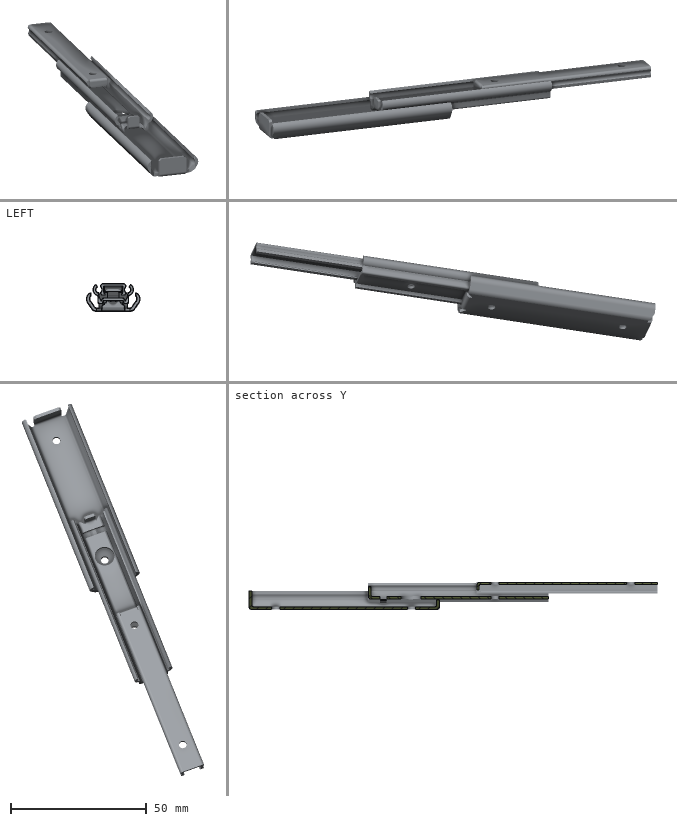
import cadquery as cq
import math


HOLE_DIA = 2.9
HOLE_PITCH = 50.0
BEND_R = 0.6
TAB_ROOT = 0.2
CUT_HEIGHT = 30.2

RAIL_LENGTH = 66.7
INNER_START = 0.0
MIDDLE_START = 40.1
OUTER_START = 80.4
OUTER_END = 150.8
INNER_END = INNER_START + RAIL_LENGTH
MIDDLE_END = MIDDLE_START + RAIL_LENGTH

TRACK_Y = 5.3
TRACK_Z = 8.0
TRACK_R = 1.13

INNER_SHEET = 0.9
INNER_TOP = 10.3
INNER_BOTTOM = 6.0
INNER_HALF_WIDTH = 4.7
INNER_EDGE_R = 1.0
INNER_CAVITY_HALF = 3.5
FOOT_INNER_Y = 3.0
FOOT_OUTER_Y = 4.4
FOOT_TOP = 6.5
FOOT_SLOPE = 0.5
GROOVE_TOP_ANGLE = 135
GROOVE_BOTTOM_ANGLE = 230
INNER_TAB_DROP = 3.0
INNER_TAB_HALF = 3.3
INNER_TAB_CORNER = 0.6
INNER_HOLE_X = 10.0

MIDDLE_SHEET = 1.0
ARM_SHEET = 1.0
WEB_TOP = 5.0
WEB_BOTTOM = WEB_TOP - MIDDLE_SHEET
WEB_HALF = 3.5
MIDDLE_BOTTOM = 2.9
WEB_SHOULDER = (4.0, 4.5)
VALLEY = (4.4, 3.8)
VALLEY_WALL = (5.0, 4.8)
FOLD_Y = 4.0
LEG_OUTER_Y = 5.65
LEG_TOP = 5.5
LEG_FOOT_R = 0.68
MIDDLE_LIP_ANGLE = 60
TRACK_START_ANGLE = -80
ARM_START_ANGLE = -75
MIDDLE_TAB_HALF = 2.1
MIDDLE_TAB_REACH = 4.8
MIDDLE_TAB_CORNER = 0.5
WEB_NOTCH_Y = 3.8
ACCESS_HOLE_X = 91.0
ACCESS_HOLE_DIA = 7.2

DETENT_X = 101.2
DETENT_WIDTH = 2.4
DETENT_HALF = 4.4
DETENT_SHEET = 0.6
DETENT_CROWN = [(0, 3.9), (0.6, 3.9), (1.5, 3.3)]
DETENT_DIP = (3.0, 3.09)
DETENT_END = (DETENT_HALF, 3.7)

OUTER_SHEET = 1.2
ARM_Y = 9.88
ARM_Z = 4.5
ARM_TOP = 6.86
LIP_Y = 8.3
LIP_BOTTOM = 5.65
FLOOR_OUTER_Y = 6.3
BEND_OUTER_MID = (7.2, 0.3)
SLOPE_OUTER_FOOT = (8.0, 1.0)
SLOPE_OUTER_TOP = (9.3, 3.0)
FLOOR_INNER_Y = 6.2
BEND_INNER_MID = (6.6, 1.4)
SLOPE_INNER_FOOT = (7.0, 1.7)
SLOPE_INNER_TOP = (8.1, 3.5)
STOP_TAB_HALF = 5.3
STOP_TAB_TOP = 7.1
STOP_TAB_CORNER = 0.8
LOW_TAB_HALF = 4.0
LOW_TAB_TOP = 3.8
LOW_TAB_CORNER = 1.8
STOP_RELIEF_Y = 6.8
LOW_RELIEF_Y = 4.4
OUTER_HOLE_X = 90.8


def on_track(radius, degrees):
    """Point about the ball track centre, with the angle measured from +Y towards +Z."""
    angle = math.radians(degrees)
    return (TRACK_Y + radius * math.cos(angle), TRACK_Z + radius * math.sin(angle))


def rail_body(half_section, start, end):
    """Extrude the +Y half of a section along X and add its mirror image."""
    half = half_section.close().extrude(end - start).translate((start, 0, 0))
    return half.union(half.mirror("XZ"))


def drill(body, x_positions, diameter):
    """Vertical holes on the centre line."""
    places = [(x, 0) for x in x_positions]
    return body.cut(cq.Workplane("XY").pushPoints(places).circle(diameter / 2).extrude(CUT_HEIGHT))


def end_cut(end, inward, depth, inner_y, end_y):
    """Full-height cut at a rail end whose sides slant from inner_y out to end_y."""
    floor = end + inward * depth
    outline = [(floor, -inner_y), (floor, inner_y), (end, end_y), (end, -end_y)]
    return cq.Workplane("XY").polyline(outline).close().extrude(CUT_HEIGHT)


def bent_tab(end, inward, plate_z, turn, reach, half_width, corner, sheet):
    """Tab bent square from a plate at a rail end.

    Its outer face lies at `end`, and inward (+1 or -1) points back along the plate.
    It leaves the plate's outer face plate_z by `reach`, up for turn = +1 or down for -1.
    """
    root = sheet + BEND_R + TAB_ROOT
    profile = [(0, 0), (root, 0), (root, sheet), (sheet, sheet), (sheet, reach), (0, reach)]
    points = [(end + inward * along, plate_z + turn * rise) for along, rise in profile]
    tab = cq.Workplane("XZ").polyline(points).close().extrude(half_width, both=True)

    def across_edge(along, rise):
        return cq.selectors.NearestToPointSelector((end + inward * along, 0, plate_z + turn * rise))

    tab = tab.edges("|Y").edges(across_edge(sheet, sheet)).fillet(BEND_R)
    tab = tab.edges("|Y").edges(across_edge(0, 0)).fillet(sheet)
    free_end = ">Z" if turn > 0 else "<Z"
    return tab.faces(free_end).edges("|X").chamfer(corner)


def make_inner_rail():
    edge_y = INNER_HALF_WIDTH - INNER_EDGE_R
    edge_z = INNER_TOP - INNER_EDGE_R
    edge_mid = INNER_EDGE_R * math.sqrt(0.5)
    section = (
        cq.Workplane("YZ")
        .moveTo(0, INNER_TOP)
        .lineTo(edge_y, INNER_TOP)
        .threePointArc((edge_y + edge_mid, edge_z + edge_mid), (INNER_HALF_WIDTH, edge_z))
        .lineTo(*on_track(TRACK_R, GROOVE_TOP_ANGLE))
        .threePointArc(on_track(TRACK_R, 180), on_track(TRACK_R, GROOVE_BOTTOM_ANGLE))
        .lineTo(FOOT_OUTER_Y, INNER_BOTTOM)
        .lineTo(FOOT_INNER_Y, INNER_BOTTOM)
        .lineTo(FOOT_INNER_Y, FOOT_TOP)
        .lineTo(INNER_CAVITY_HALF, FOOT_TOP + FOOT_SLOPE)
        .lineTo(INNER_CAVITY_HALF, INNER_TOP - INNER_SHEET)
        .lineTo(0, INNER_TOP - INNER_SHEET)
    )
    body = rail_body(section, INNER_START, INNER_END)
    bend_length = INNER_SHEET + BEND_R
    body = body.cut(end_cut(INNER_END, -1, bend_length, INNER_CAVITY_HALF, INNER_CAVITY_HALF))
    body = body.union(
        bent_tab(
            INNER_END, -1, INNER_TOP, -1,
            INNER_TAB_DROP, INNER_TAB_HALF, INNER_TAB_CORNER, INNER_SHEET,
        )
    )
    return drill(body, [INNER_HOLE_X, INNER_HOLE_X + HOLE_PITCH], HOLE_DIA)


def make_detent_strap():
    """Strap that dips below the web and has a flat-topped bump at its middle."""
    def lowered(point):
        return (point[0], point[1] - DETENT_SHEET)

    section = (
        cq.Workplane("YZ")
        .polyline(DETENT_CROWN)
        .threePointArc(DETENT_DIP, DETENT_END)
        .lineTo(*lowered(DETENT_END))
        .threePointArc(lowered(DETENT_DIP), lowered(DETENT_CROWN[2]))
        .lineTo(*lowered(DETENT_CROWN[1]))
        .lineTo(*lowered(DETENT_CROWN[0]))
    )
    return rail_body(section, DETENT_X - DETENT_WIDTH / 2, DETENT_X + DETENT_WIDTH / 2)


def make_middle_rail():
    arm_r = TRACK_R + ARM_SHEET
    foot_y = LEG_OUTER_Y - LEG_FOOT_R
    foot_z = MIDDLE_BOTTOM + LEG_FOOT_R
    foot_mid = LEG_FOOT_R * math.sqrt(0.5)
    section = (
        cq.Workplane("YZ")
        .moveTo(0, WEB_TOP)
        .lineTo(WEB_HALF, WEB_TOP)
        .threePointArc(WEB_SHOULDER, VALLEY)
        .threePointArc(VALLEY_WALL, on_track(TRACK_R, TRACK_START_ANGLE))
        .threePointArc(on_track(TRACK_R, 0), on_track(TRACK_R, MIDDLE_LIP_ANGLE))
        .lineTo(*on_track(arm_r, MIDDLE_LIP_ANGLE))
        .threePointArc(on_track(arm_r, 0), on_track(arm_r, ARM_START_ANGLE))
        .lineTo(LEG_OUTER_Y, LEG_TOP)
        .lineTo(LEG_OUTER_Y, foot_z)
        .threePointArc((foot_y + foot_mid, foot_z - foot_mid), (foot_y, MIDDLE_BOTTOM))
        .lineTo(FOLD_Y, MIDDLE_BOTTOM)
        .lineTo(WEB_HALF, WEB_BOTTOM)
        .lineTo(0, WEB_BOTTOM)
    )
    body = rail_body(section, MIDDLE_START, MIDDLE_END)
    bend_length = MIDDLE_SHEET + BEND_R
    body = body.cut(end_cut(MIDDLE_END, -1, bend_length, MIDDLE_TAB_HALF, WEB_NOTCH_Y))
    body = body.union(
        bent_tab(
            MIDDLE_END, -1, WEB_BOTTOM, 1,
            MIDDLE_TAB_REACH, MIDDLE_TAB_HALF, MIDDLE_TAB_CORNER, MIDDLE_SHEET,
        )
    )
    body = drill(body, [ACCESS_HOLE_X], ACCESS_HOLE_DIA)
    body = drill(body, [INNER_HOLE_X + HOLE_PITCH], HOLE_DIA)
    slot = cq.Workplane("XY").center(DETENT_X, 0).rect(DETENT_WIDTH, 2 * DETENT_HALF)
    return body.cut(slot.extrude(WEB_TOP)).union(make_detent_strap())


def make_outer_rail():
    section = (
        cq.Workplane("YZ")
        .lineTo(FLOOR_OUTER_Y, 0)
        .threePointArc(BEND_OUTER_MID, SLOPE_OUTER_FOOT)
        .lineTo(*SLOPE_OUTER_TOP)
        .threePointArc((ARM_Y, ARM_Z), (LIP_Y, ARM_TOP))
        .lineTo(LIP_Y, LIP_BOTTOM)
        .threePointArc((ARM_Y - OUTER_SHEET, ARM_Z), SLOPE_INNER_TOP)
        .lineTo(*SLOPE_INNER_FOOT)
        .threePointArc(BEND_INNER_MID, (FLOOR_INNER_Y, OUTER_SHEET))
        .lineTo(0, OUTER_SHEET)
    )
    body = rail_body(section, OUTER_START, OUTER_END)
    bend_length = OUTER_SHEET + BEND_R
    end_tabs = [
        (OUTER_END, -1, STOP_TAB_TOP, STOP_TAB_HALF, STOP_TAB_CORNER, STOP_RELIEF_Y),
        (OUTER_START, 1, LOW_TAB_TOP, LOW_TAB_HALF, LOW_TAB_CORNER, LOW_RELIEF_Y),
    ]
    for end, inward, top, half_width, corner, relief_y in end_tabs:
        body = body.cut(end_cut(end, inward, bend_length, relief_y, relief_y + bend_length))
        body = body.union(bent_tab(end, inward, 0, 1, top, half_width, corner, OUTER_SHEET))
    return drill(body, [OUTER_HOLE_X, OUTER_HOLE_X + HOLE_PITCH], HOLE_DIA)


inner_rail = make_inner_rail().solids()
middle_rail = make_middle_rail().solids()
outer_rail = make_outer_rail().solids()
result = cq.Compound.makeCompound([inner_rail.val(), middle_rail.val(), outer_rail.val()])